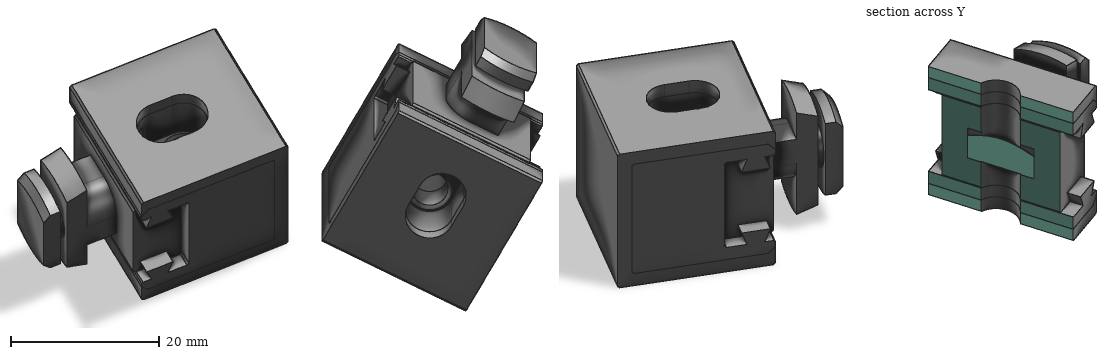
import cadquery as cq
import math


cube = 22.0
edge_chamfer = 0.3
wall = 2.0

lip_chamfer = 1.0
insert_back_chamfer = 0.3
guide_height = 14.0
guide_depth = 7.1
guide_back_chamfer = 0.3
mouth_chamfer = 0.2

dovetail_center = 2.7
dovetail_root = 2.5
dovetail_tip = 4.0
dovetail_height = 2.0

slider_width = 18.0
slider_protrusion = 0.3
slider_clearance = 0.1
slider_chamfer = 0.3

slot_width = 6.6
slot_length = 10.0
slot_center = 10.0

nut_size = 10.0
nut_thickness = 5.0
nut_center = 11.75
nut_bore = 4.92
nut_thread = 6.0
nut_bevel_diameter = 9.85
nut_bevel_angle = 30.0
nut_countersink_angle = 30.0

bolt_width = 8.0
stem_length = 4.5
wing_half_height = 9.0
wing_radius = 12.5
wing_length = 3.0
wing_taper = 1.0
neck_diameter = 6.6
neck_length = 1.0
cap_half_height = 6.75
cap_radius = 9.75
cap_length = 2.5
cap_chamfer = 1.0

half_cube = cube / 2
channel_half_height = half_cube - wall
insert_depth = cube - wall
slider_front = -slider_protrusion
slider_back = guide_depth - slider_clearance
stem_end = slider_front - stem_length
wing_end = stem_end - wing_length
cap_start = wing_end - neck_length
cap_end = cap_start - cap_length


def box(x_size, y_front, y_back, z_size):
    """Box centred on X and Z, from y_front to y_back."""
    block = cq.Workplane("XY").box(x_size, y_back - y_front, z_size)
    return block.translate((0, (y_front + y_back) / 2, 0))


def prism_along_x(points, length):
    """Solid with the given (y, z) outline, centred on X."""
    return cq.Workplane("YZ").polyline(points).close().extrude(length / 2, both=True)


def turned_along_y(profile, axis_z):
    """Solid turned about the Y-parallel axis at height axis_z from (radius, y) corners."""
    turned = cq.Workplane("XY").polyline(profile).close().revolve(360, (0, 0, 0), (0, 1, 0))
    return turned.translate((0, 0, axis_z))


def make_access_slot():
    slot = cq.Workplane("XY").slot2D(slot_length, slot_width, 90).extrude(half_cube, both=True)
    return slot.translate((0, slot_center, 0))


def make_insert_blank():
    """Insert without openings; its front edges are chamfered to sit behind the housing lips."""
    blank = box(cube, 0, insert_depth, 2 * channel_half_height)
    return blank.edges("|X and <Y").chamfer(lip_chamfer).edges("|X and >Y").chamfer(insert_back_chamfer)


def make_dovetails():
    """Both dovetail ribs, widening from the guide walls towards mid-height."""
    root_z = guide_height / 2
    tip_z = root_z - dovetail_height
    outline = [
        (dovetail_center - dovetail_root / 2, root_z),
        (dovetail_center + dovetail_root / 2, root_z),
        (dovetail_center + dovetail_tip / 2, tip_z),
        (dovetail_center - dovetail_tip / 2, tip_z),
    ]
    upper = prism_along_x(outline, cube)
    return upper.union(upper.mirror("XY"))


def make_nut_pocket():
    return box(nut_size, nut_center - nut_size / 2, nut_center + nut_size / 2, nut_thickness)


def make_housing():
    block = box(cube, 0, cube, cube).edges("|X").chamfer(edge_chamfer)
    channel_mouth = box(cube, 0, lip_chamfer, 2 * (channel_half_height - lip_chamfer))
    return block.cut(make_insert_blank()).cut(channel_mouth).cut(make_access_slot())


def make_guide():
    """Open guide channel, chamfered at its back corners and flared at its mouth."""
    half_guide = guide_height / 2
    guide = box(cube, 0, guide_depth, guide_height).edges("|X and >Y").chamfer(guide_back_chamfer)
    flare = [
        (0, -half_guide - mouth_chamfer),
        (0, half_guide + mouth_chamfer),
        (mouth_chamfer, half_guide),
        (mouth_chamfer, -half_guide),
    ]
    return guide.union(prism_along_x(flare, cube))


def make_insert():
    insert = make_insert_blank().cut(make_guide()).union(make_dovetails())
    return insert.cut(make_access_slot()).cut(make_nut_pocket())


def make_slider():
    block = box(slider_width, slider_front, slider_back, guide_height).edges("|X").chamfer(slider_chamfer)
    return block.cut(make_dovetails()).cut(make_access_slot()).cut(make_nut_pocket())


def nut_turning(profile):
    """Solid turned about the upright nut axis from (radius, z) corners."""
    turned = cq.Workplane("XZ").polyline(profile).close().revolve(360, (0, 0, 0), (0, 1, 0))
    return turned.translate((0, nut_center, 0))


def make_nut():
    """Square nut with bevelled top corners and a bore countersunk at both ends."""
    top_z = nut_thickness / 2
    bevel_radius = nut_bevel_diameter / 2
    corner_radius = nut_size / math.sqrt(2)
    bevel_drop = (corner_radius - bevel_radius) * math.tan(math.radians(nut_bevel_angle))
    envelope = nut_turning([
        (0, -top_z),
        (corner_radius, -top_z),
        (corner_radius, top_z - bevel_drop),
        (bevel_radius, top_z),
        (0, top_z),
    ])
    bore_radius = nut_bore / 2
    thread_radius = nut_thread / 2
    countersink_depth = (thread_radius - bore_radius) * math.tan(math.radians(nut_countersink_angle))
    shoulder_z = top_z - countersink_depth
    bore = nut_turning([
        (0, -top_z),
        (thread_radius, -top_z),
        (bore_radius, -shoulder_z),
        (bore_radius, shoulder_z),
        (thread_radius, top_z),
        (0, top_z),
    ])
    return make_nut_pocket().intersect(envelope).cut(bore)


def crowned_plate(crown_profile, crown_radius, half_height, y_front, y_back):
    """Plate of the bolt width whose top and bottom are turned crowns about offset axes."""
    offset = crown_radius - half_height
    plate = box(bolt_width, y_front, y_back, 2 * half_height)
    for axis_z in (-offset, offset):
        plate = plate.intersect(turned_along_y(crown_profile, axis_z))
    return plate


def make_stem():
    """Round stem with square corners in two opposite quadrants."""
    half = bolt_width / 2
    stem = cq.Workplane("XZ", origin=(0, slider_front, 0)).circle(half).extrude(stem_length)
    for side in (-1, 1):
        corner = box(half, stem_end, slider_front, half).translate((side * half / 2, 0, -side * half / 2))
        stem = stem.union(corner)
    return stem


def make_bolt():
    wing_profile = [
        (0, stem_end),
        (wing_radius, stem_end),
        (wing_radius - wing_taper, wing_end),
        (0, wing_end),
    ]
    wing = crowned_plate(wing_profile, wing_radius, wing_half_height, wing_end, stem_end)
    neck = cq.Workplane("XZ", origin=(0, wing_end, 0)).circle(neck_diameter / 2).extrude(neck_length)
    cap_profile = [
        (0, cap_start),
        (cap_radius, cap_start),
        (cap_radius, cap_end + cap_chamfer),
        (cap_radius - cap_chamfer, cap_end),
        (0, cap_end),
    ]
    cap = crowned_plate(cap_profile, cap_radius, cap_half_height, cap_end, cap_start)
    return make_stem().union(wing).union(neck).union(cap)


housing = make_housing()
insert = make_insert()
slider = make_slider()
nut = make_nut()
bolt = make_bolt()

result = cq.Compound.makeCompound([housing.val(), insert.val(), slider.val(), nut.val(), bolt.val()])